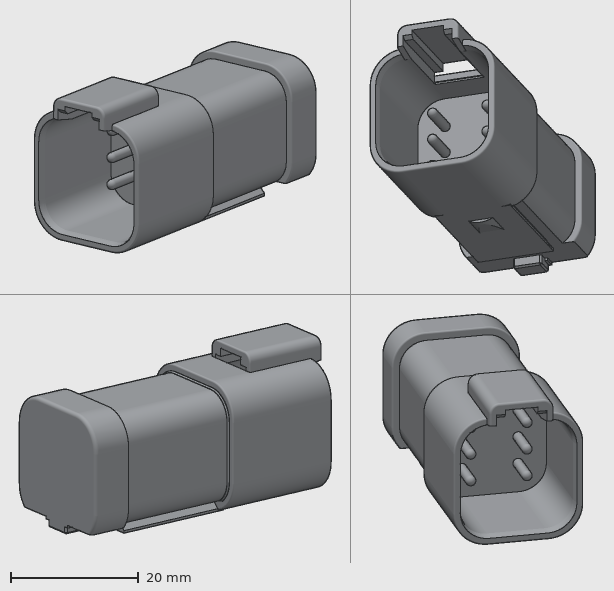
import cadquery as cq

rear_y = 47.9

shell_width = 20.9
shell_height = 21.15
shell_radius = 5.5
shell_front_y = 2.0
shell_rear_y = 21.2
edge_round = 0.3

cavity_width = 18.3
cavity_height = 18.5
cavity_radius = 4.4
cavity_floor_y = 20.1
mouth_flare = 0.3
mouth_depth = 0.95
throat_flare = 0.07
throat_depth = 0.4

pin_radius = 0.8
pin_pitch_x = 9.1
pin_pitch_z = 4.45
pin_tip_y = 13.65

body_width = 18.3
body_height = 18.4
body_radius = 4.3

collar_size = 0.3
collar_bevel = 0.25

flange_width = 20.65
flange_height = 20.9
flange_radius = 5.35
flange_front_y = 41.4
flange_rear_round = 0.6

base_z = -8.57

bridge_width = 10.25
bridge_top_z = 13.6
bridge_radius = 1.6
bridge_rear_y = 14.05
bridge_front_round = 0.4
bridge_gap_width = 8.15
bridge_channel_width = 5.25
bridge_channel_top_z = 12.5
ledge_front_z = 11.8
ledge_z = 11.15
ledge_lead_in = 0.6
gap_undercut = 0.3
wall_tip_z = 10.0
wall_tip_run = 3.6

rail_rear_y = 39.45
rail_neck_width = 10.35
rail_width = 12.65
rail_neck_z = -9.0
rail_edge_z = -10.15

catch_width = 4.0
catch_height = 0.5
catch_start_y = 28.75
catch_crest_y = 24.75
catch_end_y = 23.75

tab_width = 4.8
tab_front_y = 44.4
tab_bottom_z = -10.2
tab_chamfer = 0.3
tab_root_width = 5.75
tab_root_y = 46.0
tab_root_z = -9.0

rail_bottom_z = -shell_height / 2


def section(y):
    """Workplane at the given Y, with local x = X, local y = Z and normal -Y."""
    return cq.Workplane("XZ", origin=(0, y, 0))


def rounded_bar(width, height, radius, front_y, back_y):
    bar = section(back_y).rect(width, height).extrude(back_y - front_y)
    return bar.edges("|Y").fillet(radius)


def box(width, y_range, z_range):
    """Block centred on X = 0."""
    (y_low, y_high), (z_low, z_high) = y_range, z_range
    block = cq.Workplane("XY").box(width, y_high - y_low, z_high - z_low)
    return block.translate((0, (y_low + y_high) / 2, (z_low + z_high) / 2))


def side_profile(points, width):
    """Prism centred on X = 0 from (Y, Z) points."""
    return cq.Workplane("YZ").polyline(points).close().extrude(width / 2, both=True)


def make_body_and_flange():
    body = rounded_bar(body_width, body_height, body_radius, shell_rear_y, flange_front_y)
    collar = rounded_bar(
        body_width + 2 * collar_size,
        body_height + 2 * collar_size,
        body_radius + collar_size,
        shell_rear_y,
        shell_rear_y + collar_size,
    )
    collar = collar.faces(">Y").chamfer(collar_bevel)
    flange = rounded_bar(flange_width, flange_height, flange_radius, flange_front_y, rear_y)
    flange = flange.faces(">Y").edges().fillet(flange_rear_round)
    flange = flange.faces("<Y").edges().fillet(edge_round)
    below_base = box(shell_width, (shell_rear_y, rear_y), (-shell_height, base_z))
    return body.union(collar).union(flange).cut(below_base)


def make_shell():
    shell = rounded_bar(shell_width, shell_height, shell_radius, shell_front_y, shell_rear_y)
    return shell.faces("<Y or >Y").edges().fillet(edge_round)


def make_bridge():
    bridge = box(bridge_width, (0, bridge_rear_y), (0, bridge_top_z))
    bridge = bridge.edges("|Y and >Z").fillet(bridge_radius)
    bridge = bridge.faces("<Y").edges().fillet(bridge_front_round)
    return bridge.faces(">Y").edges().fillet(edge_round)


def make_bridge_opening():
    channel = box(bridge_channel_width, (0, bridge_rear_y), (0, bridge_channel_top_z))
    cavity_top_z = cavity_height / 2
    gap = side_profile(
        [
            (0, 0),
            (0, ledge_front_z),
            (ledge_lead_in, ledge_z),
            (bridge_rear_y, ledge_z),
            (bridge_rear_y, cavity_top_z + gap_undercut),
            (bridge_rear_y + gap_undercut, cavity_top_z + gap_undercut),
            (bridge_rear_y + gap_undercut, 0),
        ],
        bridge_gap_width,
    )
    wall_relief = side_profile(
        [(0, 0), (0, wall_tip_z), (wall_tip_run, cavity_top_z), (wall_tip_run, 0)],
        bridge_width,
    )
    return channel.union(gap).union(wall_relief)


def cavity_outline(offset):
    """Cavity section grown outward by the given offset."""
    outline = cq.Sketch().rect(cavity_width + 2 * offset, cavity_height + 2 * offset)
    return outline.vertices().fillet(cavity_radius + offset)


def taper(front_offset, back_offset, front_y, depth):
    """Loft between two grown cavity sections, narrowing towards the rear."""
    back = cavity_outline(back_offset).moved(cq.Location((0, 0, -depth)))
    return section(front_y).placeSketch(cavity_outline(front_offset), back).loft()


def make_cavity():
    cavity = rounded_bar(cavity_width, cavity_height, cavity_radius, 0, cavity_floor_y)
    throat_y = shell_front_y + mouth_depth
    mouth = taper(mouth_flare, throat_flare, shell_front_y, mouth_depth)
    throat = taper(throat_flare, 0, throat_y, throat_depth)
    return cavity.union(mouth).union(throat)


def make_pins():
    pins = (
        section(cavity_floor_y + pin_radius)
        .rarray(pin_pitch_x, pin_pitch_z, 2, 3)
        .circle(pin_radius)
        .extrude(cavity_floor_y - pin_tip_y)
    )
    domes = section(pin_tip_y + pin_radius).rarray(pin_pitch_x, pin_pitch_z, 2, 3).sphere(pin_radius)
    return pins.union(domes)


def make_rail():
    neck = rail_neck_width / 2
    edge = rail_width / 2
    return (
        section(rail_rear_y)
        .moveTo(-neck, 0)
        .lineTo(-neck, rail_neck_z)
        .lineTo(-edge, rail_edge_z)
        .lineTo(-edge, rail_bottom_z)
        .lineTo(edge, rail_bottom_z)
        .lineTo(edge, rail_edge_z)
        .lineTo(neck, rail_neck_z)
        .lineTo(neck, 0)
        .close()
        .extrude(rail_rear_y - cavity_floor_y)
    )


def make_catch():
    crest_z = rail_bottom_z - catch_height
    ramp = side_profile(
        [
            (catch_start_y, base_z),
            (catch_start_y, rail_bottom_z),
            (catch_crest_y, crest_z),
            (catch_end_y, crest_z),
            (catch_end_y, base_z),
        ],
        catch_width,
    )
    crown_radius = (catch_width**2 / 4 + catch_height**2) / (2 * catch_height)
    crown = (
        section(catch_start_y)
        .center(0, crest_z + crown_radius)
        .circle(crown_radius)
        .extrude(catch_start_y - catch_end_y)
    )
    return ramp.intersect(crown)


def make_tab():
    tab = box(tab_width, (tab_front_y, rear_y), (tab_bottom_z, base_z))
    tab = tab.edges("|Z or <Z").chamfer(tab_chamfer)
    root = box(tab_root_width, (tab_root_y, rear_y), (tab_root_z, base_z))
    return tab.union(root)


housing = make_body_and_flange().union(make_rail()).union(make_shell()).union(make_bridge())
housing = housing.cut(make_cavity()).cut(make_bridge_opening())
result = housing.union(make_pins()).union(make_catch()).union(make_tab())